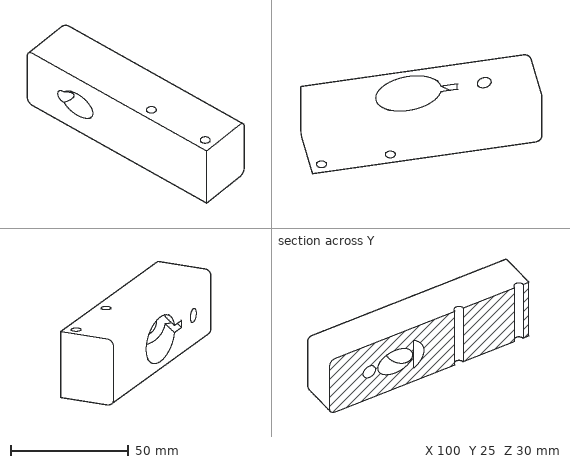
import cadquery as cq
import math

length = 100.0
depth = 25.0
height = 30.0
edge_radius = 3.0

bore_diameter = 12.2
bore_entry_x = 28.0
bore_angle = 45.0
bore_length = 13.6
socket_diameter = 20.2

key_height = 3.2
key_reach = 15.0

cross_hole_diameter = 6.0
cross_hole_x = 20.0
pin_diameter = 4.2
pin_y = 5.0
pin_end_distance = 5.0
pin_spacing = 30.0

bore_direction = cq.Vector(math.cos(math.radians(bore_angle)), math.sin(math.radians(bore_angle)), 0)
bore_entry = cq.Vector(bore_entry_x, 0, 0)
bore_end = bore_entry + bore_direction * bore_length
key_direction = cq.Vector(-bore_direction.y, bore_direction.x, 0)


def make_block():
    """Block with the left face and the back face rounded off at their edges."""
    block = cq.Workplane("XY").box(length, depth, height, centered=(False, False, True))
    rounded_edges = block.edges("(<X and (not <Y)) or (>Y and (not >X))")
    return rounded_edges.fillet(edge_radius)


def make_socket():
    """Wide part of the slanted bore, from its shoulder out through the back face."""
    return cq.Workplane(
        cq.Solid.makeCylinder(socket_diameter / 2, length, bore_end, bore_direction)
    )


def make_key_slot():
    """Slot along the socket, on the side nearest the left face, out through the back face."""
    return (
        cq.Workplane(cq.Plane(origin=bore_end, xDir=key_direction, normal=bore_direction))
        .center(key_reach / 2, 0)
        .rect(key_reach, key_height)
        .extrude(length)
    )


def make_slanted_bore():
    """Bore from outside the front face to the shoulder of the socket."""
    start = bore_entry - bore_direction * bore_diameter
    return cq.Workplane(
        cq.Solid.makeCylinder(bore_diameter / 2, bore_diameter + bore_length, start, bore_direction)
    )


def make_cross_hole():
    """Hole through the block along Y, beside the bore mouth."""
    return cq.Workplane("XZ").center(cross_hole_x, 0).circle(cross_hole_diameter / 2).extrude(-depth)


def make_pin_holes():
    """Two holes through the block along Z, near the front face."""
    last_pin_x = length - pin_end_distance
    pin_places = [(last_pin_x - pin_spacing, pin_y), (last_pin_x, pin_y)]
    return (
        cq.Workplane("XY")
        .pushPoints(pin_places)
        .circle(pin_diameter / 2)
        .extrude(height / 2, both=True)
    )


result = (
    make_block()
    .cut(make_socket())
    .cut(make_key_slot())
    .cut(make_slanted_bore())
    .cut(make_cross_hole())
    .cut(make_pin_holes())
)